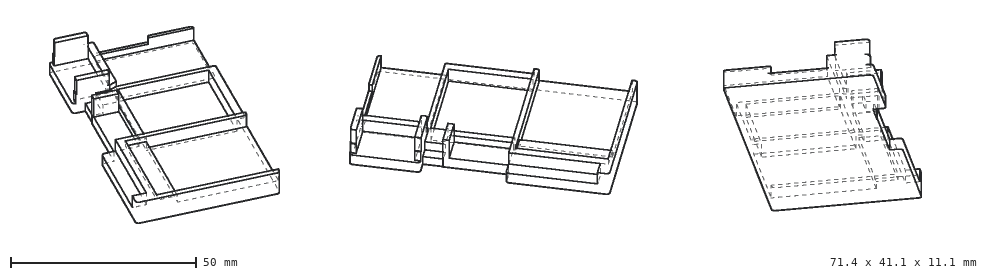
import cadquery as cq
length = 71.4
depth = 41.1
corner_radius = 0.9
small_radius = 0.6

bay_floor = 1.35
slot_floor = 2.65
ledge_height = 3.3
low_wall_height = 5.4
nib_height = 6.4
wall_height = 7.15
post_height = 9.4
cheek_height = 11.1

side_wall = 1.0
left_bay_end = 18.55
middle_bay_start = 19.9
cradle_end = 19.5
cheek_thickness = 1.7
post_start = 25.05
post_end = post_start + cheek_thickness
divider_start = 43.0
divider_end = 44.4
right_wall_start = 69.8
end_stop_start = 68.1

cheek_front = 1.15
nib_front = 0.9
middle_front = 3.5
slot_front = 3.65
front_wall_start = 4.0
front_wall_end = 6.35
slot_end = 6.65
cross_wall_start = 10.65
step_end = 12.3
cross_wall_end = 12.8
notch_end = 28.1
back_wall_start = 38.7


def block(x0, x1, y0, y1, z0, z1):
    """Box between the given limits on each axis."""
    return cq.Workplane("XY").box(x1 - x0, y1 - y0, z1 - z0, centered=False).translate((x0, y0, z0))


def base_plates():
    """Left, middle and right floors, with rounded outer corners."""
    cradle = block(0, cradle_end, 0, cross_wall_end, 0, ledge_height)
    cradle = cradle.edges("|Z and <Y").fillet(corner_radius)
    left_bay = block(0, middle_bay_start, cross_wall_start, depth, 0, bay_floor)
    left_bay = left_bay.edges("|Z and <X and >Y").fillet(corner_radius)
    middle = block(left_bay_end, divider_end, cross_wall_start, depth, 0, bay_floor)
    right = block(divider_start, length, 0, depth, 0, ledge_height)
    right = right.edges("|Z and <Y").fillet(corner_radius)
    right = right.edges("|Z and >X and >Y").fillet(corner_radius)
    return cradle.union(left_bay).union(middle).union(right)


def left_side_wall():
    """Thin left wall, tall at the back and low along the notch."""
    low = block(0, side_wall, cross_wall_end, depth, 0, ledge_height)
    low = low.edges("|Z and <X and >Y").fillet(corner_radius)
    tall = block(0, side_wall, notch_end, depth, ledge_height, low_wall_height)
    tall = tall.edges("|Z and <X and >Y").fillet(corner_radius)
    tall = tall.edges("|Z and <Y").edges("<X").fillet(small_radius)
    return low.union(tall)


def cradle_cross_wall():
    """Wall behind the cradle, with a slanted right end."""
    outline = [
        (0, cross_wall_start),
        (cradle_end, cross_wall_start),
        (left_bay_end, cross_wall_end),
        (0, cross_wall_end),
    ]
    upper = cq.Workplane("XY").polyline(outline).close().extrude(wall_height)
    upper = upper.edges("|Z and <X and >Y").fillet(small_radius)
    foot = block(0, left_bay_end, cross_wall_start, cross_wall_end, 0, ledge_height)
    return upper.union(foot)


def cheek(x_start, outer_side, rounded_front):
    """Tall cradle cheek with a nib on the lower part of its front end."""
    x_end = x_start + cheek_thickness
    upper = block(x_start, x_end, cheek_front, cross_wall_start, wall_height, cheek_height)
    upper = upper.edges(f"|Z and {outer_side}X and >Y").fillet(small_radius)
    middle = block(x_start, x_end, cheek_front, cross_wall_start, nib_height, wall_height)
    lower = block(x_start, x_end, nib_front, cross_wall_start, ledge_height, nib_height)
    if rounded_front:
        front_edge = f"|Z and {outer_side}X and <Y"
        upper = upper.edges(front_edge).fillet(corner_radius)
        middle = middle.edges(front_edge).fillet(corner_radius)
        lower = lower.edges(front_edge).fillet(corner_radius)
    return lower.union(middle).union(upper)


def middle_bay_walls():
    """Low walls around the middle bay, the front ledge, the slot floor and the post."""
    side = block(left_bay_end, middle_bay_start, cross_wall_start, depth, 0, low_wall_height)
    side = side.edges("|Z and <X and >Y").fillet(small_radius)
    back = block(middle_bay_start, divider_start, back_wall_start, depth, 0, low_wall_height)
    front = block(left_bay_end, divider_end, cross_wall_start, cross_wall_end, 0, low_wall_height)
    shelf = block(cradle_end, post_start, slot_end, cross_wall_start, 0, low_wall_height)
    slot = block(cradle_end, post_start, slot_front, slot_end, 0, slot_floor)
    ledge = block(post_start, divider_end, middle_front, cross_wall_start, 0, ledge_height)
    post = block(post_start, post_end, middle_front, cross_wall_start, 0, post_height)
    return side.union(back).union(front).union(shelf).union(slot).union(ledge).union(post)


def right_bay_walls():
    """Divider, front wall, right wall with its end stop, and the raised step."""
    divider_base = block(divider_start, divider_end, front_wall_start, depth, 0, ledge_height)
    divider = block(divider_start, divider_end, front_wall_start, depth, ledge_height, wall_height)
    divider = divider.edges("|Z and >X and >Y").fillet(small_radius)
    divider = divider.union(divider_base)
    front = block(divider_start, right_wall_start, front_wall_start, front_wall_end, 0, wall_height)
    side = block(right_wall_start, length, front_wall_end, depth, 0, wall_height)
    side = side.edges("|Z and >X and >Y").fillet(corner_radius)
    end_stop = block(end_stop_start, length, 0, front_wall_end, 0, wall_height)
    end_stop = end_stop.edges("|Z and >X and <Y").fillet(corner_radius)
    step = block(divider_end, right_wall_start, front_wall_end, step_end, 0, low_wall_height)
    return divider.union(front).union(side).union(end_stop).union(step)


left_cheek = cheek(0, "<", True)
right_cheek = cheek(cradle_end - cheek_thickness, ">", False)

result = (
    base_plates()
    .union(left_side_wall())
    .union(cradle_cross_wall())
    .union(left_cheek)
    .union(right_cheek)
    .union(middle_bay_walls())
    .union(right_bay_walls())
    .clean()
)